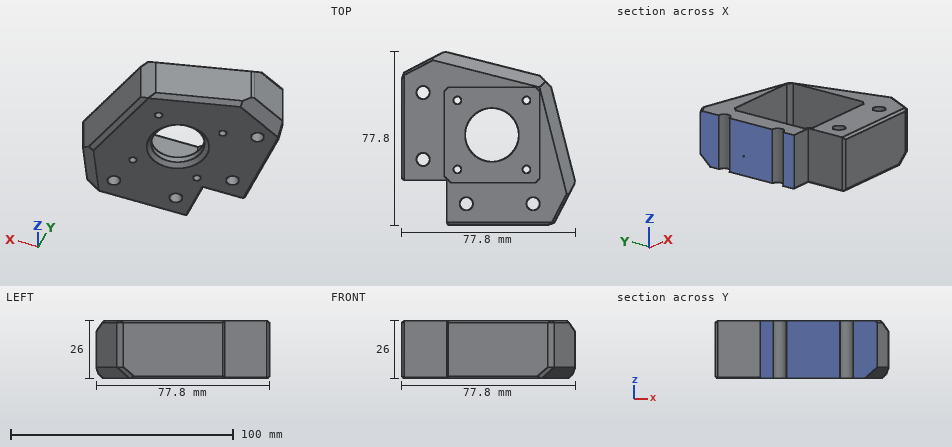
import math

import cadquery as cq


height = 26.0
floor_thickness = 5.0
straight_side = 40.5
notch_side = 20.35
long_side_reach = 37.31

side_corner = (-straight_side, 25.1)
bevel_start = (-39.5, 28.0)
bevel_end = (-22.0, 37.05)
long_start = (-20.6, long_side_reach)
long_end = (21.4, 26.65)

long_top_chamfer = 5.1
long_bottom_chamfer = 2.0
short_top_chamfer = 1.07
short_bottom_chamfer = 5.05
straight_top_width = 1.2
straight_top_height = 1.07
straight_bottom_width = 0.95
straight_bottom_height = 1.05
notch_bottom_chamfer = 0.55
notch_corner_width = 1.2
notch_corner_length = 0.85
bevel_top_point = (-39.3, 26.7)
bevel_drop_run = 4.75
bevel_drop_height = 4.05

pocket_side = 43.0
pocket_corner = 2.0
pocket_notch_corner = 3.1
shaft_hole_diameter = 24.0
shaft_hole_rim_width = 2.0
shaft_hole_rim_height = 2.0
motor_screw_spacing = 31.0
motor_screw_diameter = 3.4
mount_hole_diameter = 5.8
mount_hole_offset = 30.9
mount_hole_spacing = 30.0
side_row_start = -11.0
front_row_start = -11.5

cutter_size = 4 * straight_side


def mirrored(point):
    """Reflect a plan point across the diagonal X = Y."""
    return (point[1], point[0])


def cut_outside(body, point, normal):
    """Remove everything beyond the plane through point, on the side normal points to."""
    plane = cq.Plane(origin=point, normal=normal)
    return body.cut(cq.Workplane(plane).rect(cutter_size, cutter_size).extrude(cutter_size))


def cut_both_sides(body, point, normal):
    """Make a planar cut and its mirror image across the diagonal."""
    body = cut_outside(body, point, normal)
    mirror_point = (*mirrored(point), point[2])
    mirror_normal = (*mirrored(normal), normal[2])
    return cut_outside(body, mirror_point, mirror_normal)


def outward_normal(start, end):
    """Unit plan normal on the left of the line from start to end."""
    run = end[0] - start[0]
    rise = end[1] - start[1]
    length = math.hypot(run, rise)
    return (-rise / length, run / length)


def chamfer_side(body, point, normal, width, rise, top):
    """Chamfer the top or bottom edge of the upright side through point, on both halves."""
    edge_z = height - rise if top else rise
    vertical = width if top else -width
    return cut_both_sides(body, (*point, edge_z), (normal[0] * rise, normal[1] * rise, vertical))


def plane_normal(first, second, third, outside):
    """Normal of the plane through three points, pointing towards outside."""
    base = cq.Vector(*first)
    normal = (cq.Vector(*second) - base).cross(cq.Vector(*third) - base)
    if normal.dot(cq.Vector(*outside)) < 0:
        normal = normal * -1
    return normal.toTuple()


def make_block():
    """Upright prism with its notch corner still square."""
    half = [side_corner, bevel_start, bevel_end, long_start, long_end]
    other_half = [mirrored(point) for point in reversed(half)]
    outline = [(-straight_side, -straight_side), *half, *other_half]
    return cq.Workplane("XY").polyline(outline).close().extrude(height)


def chamfer_outer_edges(body):
    """Chamfer the top and bottom edges of the straight, short slanted and long slanted sides."""
    side_normal = (-1.0, 0.0)
    short_normal = outward_normal(bevel_start, bevel_end)
    long_normal = outward_normal(long_start, long_end)
    body = chamfer_side(body, side_corner, side_normal, straight_top_width, straight_top_height, True)
    body = chamfer_side(body, side_corner, side_normal, straight_bottom_width, straight_bottom_height, False)
    body = chamfer_side(body, bevel_end, short_normal, short_top_chamfer, short_top_chamfer, True)
    body = chamfer_side(body, bevel_end, short_normal, short_bottom_chamfer, short_bottom_chamfer, False)
    body = chamfer_side(body, long_end, long_normal, long_top_chamfer, long_top_chamfer, True)
    return chamfer_side(body, long_end, long_normal, long_bottom_chamfer, long_bottom_chamfer, False)


def slope_bevels(body):
    """Lean the narrow bevels inward where they meet the top and bottom chamfers."""
    outside = (*outward_normal(side_corner, bevel_start), 0.0)
    top_z = height - straight_top_height
    upper = [(*side_corner, top_z), (*bevel_start, top_z), (*bevel_top_point, height)]
    body = cut_both_sides(body, upper[0], plane_normal(*upper, outside))
    drop_end = (-straight_side, side_corner[1] - bevel_drop_run, short_bottom_chamfer - bevel_drop_height)
    lower = [(*side_corner, short_bottom_chamfer), (*bevel_start, short_bottom_chamfer), drop_end]
    return cut_both_sides(body, lower[0], plane_normal(*lower, outside))


def cut_notch(body):
    """Square notch with a chamfered lower edge, then bevel the two upright notch corners."""
    corner = -straight_side
    size = straight_side - notch_side
    notch = cq.Workplane("XY").box(size, size, height, centered=False).translate((corner, corner, 0))
    flared_size = size + notch_bottom_chamfer
    flare = (
        cq.Workplane("XY")
        .center(corner, corner)
        .rect(2 * flared_size, 2 * flared_size)
        .workplane(offset=notch_bottom_chamfer)
        .rect(2 * size, 2 * size)
        .loft(combine=True)
    )
    body = body.cut(notch).cut(flare)
    triangle = [
        (corner, -notch_side),
        (corner + notch_corner_width, -notch_side),
        (corner, -notch_side + notch_corner_length),
    ]
    for points in (triangle, [mirrored(point) for point in triangle]):
        body = body.cut(cq.Workplane("XY").polyline(points).close().extrude(height))
    return body


def cut_pocket(body):
    """Square motor pocket with small corner flats and a larger flat facing the notch."""
    half = pocket_side / 2
    short_half = half - pocket_corner
    notch_half = half - pocket_notch_corner
    upper = [(-half, -notch_half), (-half, short_half), (-short_half, half), (short_half, half)]
    lower = [mirrored(point) for point in reversed(upper)]
    floor = cq.Workplane("XY").workplane(offset=floor_thickness)
    return body.cut(floor.polyline(upper + lower).close().extrude(height))


def drill_holes(body):
    """Motor screw holes, mounting holes and the shaft hole with its flared lower rim."""
    screws = (
        cq.Workplane("XY")
        .rect(motor_screw_spacing, motor_screw_spacing, forConstruction=True)
        .vertices()
        .circle(motor_screw_diameter / 2)
        .extrude(height)
    )
    mount_points = []
    for step in (0, mount_hole_spacing):
        mount_points.append((-mount_hole_offset, side_row_start + step))
        mount_points.append((front_row_start + step, -mount_hole_offset))
    mounts = (
        cq.Workplane("XY")
        .pushPoints(mount_points)
        .circle(mount_hole_diameter / 2)
        .extrude(height)
    )
    shaft_radius = shaft_hole_diameter / 2
    shaft = cq.Workplane("XY").circle(shaft_radius).extrude(height)
    rim = (
        cq.Workplane("XY")
        .circle(shaft_radius + shaft_hole_rim_width)
        .workplane(offset=shaft_hole_rim_height)
        .circle(shaft_radius)
        .loft(combine=True)
    )
    return body.cut(screws).cut(mounts).cut(shaft).cut(rim)


block = slope_bevels(chamfer_outer_edges(make_block()))
result = drill_holes(cut_pocket(cut_notch(block)))